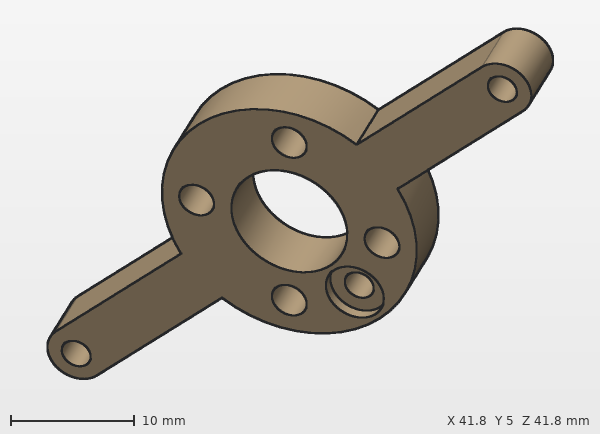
import cadquery as cq

THICKNESS = 5.0
HUB_RADIUS = 11.0
BORE_DIAMETER = 10.0
BOLT_CIRCLE_RADIUS = 8.0
BOLT_HOLE_DIAMETER = 3.0
BOLT_HOLE_COUNT = 4
FULL_TURN = 360.0
ARM_COUNT = 2
ARM_WIDTH = 5.0
ARM_ANGLE = 45.0
ARM_HOLE_SPACING = 52.0
SMALL_HOLE_DIAMETER = 2.5
COUNTERBORE_DIAMETER = 5.0
COUNTERBORE_DEPTH = 1.0
COUNTERBORED_HOLE_ANGLE = -45.0


def on_front_face(body):
    """Front-face workplane (Y = 0) carrying body: local axes X and Z, normal toward -Y."""
    return body.copyWorkplane(cq.Workplane("XZ"))


def make_body():
    """Round hub crossed by one diagonal bar with rounded ends."""
    hub = cq.Workplane("XZ").circle(HUB_RADIUS).extrude(-THICKNESS)
    bar = (
        cq.Workplane("XZ")
        .slot2D(ARM_HOLE_SPACING + ARM_WIDTH, ARM_WIDTH, ARM_ANGLE)
        .extrude(-THICKNESS)
    )
    return hub.union(bar)


def cut_bore(body):
    """Central through bore."""
    return on_front_face(body).circle(BORE_DIAMETER / 2).cutBlind(-THICKNESS)


def cut_bolt_holes(body):
    """Equally spaced through holes around the bore."""
    return (
        on_front_face(body)
        .polarArray(BOLT_CIRCLE_RADIUS, 0, FULL_TURN, BOLT_HOLE_COUNT)
        .circle(BOLT_HOLE_DIAMETER / 2)
        .cutBlind(-THICKNESS)
    )


def cut_arm_holes(body):
    """One through hole at the centre of each rounded arm end."""
    return (
        on_front_face(body)
        .polarArray(ARM_HOLE_SPACING / 2, ARM_ANGLE, FULL_TURN, ARM_COUNT)
        .circle(SMALL_HOLE_DIAMETER / 2)
        .cutBlind(-THICKNESS)
    )


def cut_counterbored_hole(body):
    """Single hole on the bolt circle, counterbored from the front face."""
    return (
        on_front_face(body)
        .polarArray(BOLT_CIRCLE_RADIUS, COUNTERBORED_HOLE_ANGLE, FULL_TURN, 1)
        .cboreHole(SMALL_HOLE_DIAMETER, COUNTERBORE_DIAMETER, COUNTERBORE_DEPTH)
    )


body = make_body()
body = cut_bore(body)
body = cut_bolt_holes(body)
body = cut_arm_holes(body)
result = cut_counterbored_hole(body)